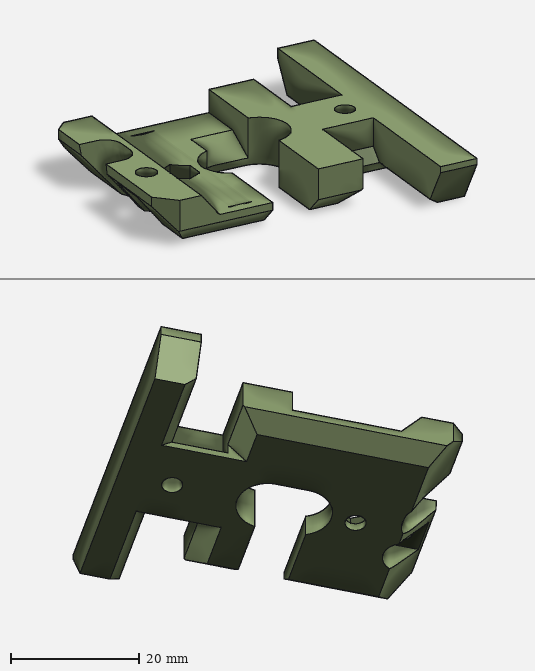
import cadquery as cq
import math

bar_length = 52.0
total_depth = 51.5
thickness = 8.0
beyond = 2.6

bar_front = 45.0
bar_left_height = 1.7
bar_left_inset = 3.65
bar_right_height = 1.05
bar_right_inset = 4.0
bar_chamfer_depth = 1.65
bar_chamfer_height = 1.15

neck_top_left = -5.5
neck_top_right = 4.5
neck_base_left = -8.55
neck_base_right = 6.5
neck_base_height = 1.15
neck_slope_top_left = 4.25
neck_slope_top_right = 3.15

body_half_width = 17.45
body_rear = 35.95
side_chamfer = 2.75
rear_chamfer = 3.0
corner_left = 2.0
corner_right = 3.2

lip_height = 1.6
lip_undercut = 5.25
channel_floor = 4.05
channel_lip_top = 7.05
channel_lip_base = 10.35
channel_rear = 27.9

keyhole_radius = 4.95
keyhole_front_center = 21.85
keyhole_rear_center = 27.2
gap_front = 19.8
gap_rear = channel_rear
ramp_start = -9.9
ramp_front = 20.5
ramp_angle = 30.0

trough_half_length = 15.55
trough_center = 15.05
trough_half_width = 2.1
trough_bottom_half_width = 1.65
trough_edge_depth = 0.1
trough_center_depth = 0.2

screw_diameter = 3.3
rear_screw_x = -0.5
rear_screw_y = 42.75
nut_y = 13.0
nut_corner_diameter = 6.2
nut_floor = 1.45
lip_screw_x = 5.5
lip_screw_y = 3.95
lip_screw_diameter = 3.5
screw_head_diameter = 6.2
screw_head_ceiling = 5.75

slot_radius = 2.95
slot_center_y = 2.95
slot_top_walls = (-8.85, -0.3)
slot_bottom_walls = (-5.75, 1.4)


def block(x0, x1, y0, y1, z0, z1):
    return cq.Workplane("XY").box(x1 - x0, y1 - y0, z1 - z0, centered=False).translate((x0, y0, z0))


def along_y(points, y0, y1):
    """Extrude an (x, z) outline from y0 to y1."""
    return cq.Workplane("XZ", origin=(0, y0, 0)).polyline(points).close().extrude(y0 - y1)


def along_x(points, x0, x1):
    """Extrude a (y, z) outline from x0 to x1."""
    return cq.Workplane("YZ", origin=(x0, 0, 0)).polyline(points).close().extrude(x1 - x0)


def cylinder(x, y, diameter, z0, z1):
    return cq.Workplane("XY", origin=(x, y, z0)).circle(diameter / 2).extrude(z1 - z0)


def make_bar():
    half = bar_length / 2
    ends = [
        (-half, thickness),
        (half, thickness),
        (half, thickness - bar_right_height),
        (half - bar_right_inset, 0),
        (-half + bar_left_inset, 0),
        (-half, thickness - bar_left_height),
    ]
    front_chamfer = along_x(
        [(bar_front, 0), (bar_front + bar_chamfer_depth, 0), (bar_front, bar_chamfer_height)], -half, half
    )
    return along_y(ends, bar_front, total_depth).cut(front_chamfer)


def make_neck():
    flanks = [
        (neck_top_left, thickness),
        (neck_top_right, thickness),
        (neck_top_right, neck_slope_top_right),
        (neck_base_right, neck_base_height),
        (neck_base_right, 0),
        (neck_base_left, 0),
        (neck_base_left, neck_base_height),
        (neck_top_left, neck_slope_top_left),
    ]
    bar_foot = along_x(
        [
            (bar_front, 0),
            (bar_front + bar_chamfer_depth, 0),
            (bar_front + bar_chamfer_depth, bar_chamfer_height),
            (bar_front, bar_chamfer_height),
        ],
        neck_base_left,
        neck_base_right,
    )
    body_foot = block(neck_base_left, neck_base_right, body_rear - rear_chamfer, body_rear, 0, rear_chamfer)
    return along_y(flanks, body_rear, bar_front).union(bar_foot).union(body_foot)


def make_body():
    side_outline = [
        (0, thickness),
        (0, thickness - lip_height),
        (lip_undercut, 0),
        (body_rear - rear_chamfer, 0),
        (body_rear, rear_chamfer),
        (body_rear, thickness),
        (channel_rear, thickness),
        (channel_rear, channel_floor),
        (channel_lip_base, channel_floor),
        (channel_lip_top, thickness),
    ]
    end_outline = [
        (-body_half_width, thickness),
        (body_half_width, thickness),
        (body_half_width, side_chamfer),
        (body_half_width - side_chamfer, 0),
        (-body_half_width + side_chamfer, 0),
        (-body_half_width, side_chamfer),
    ]
    plan_outline = [
        (-body_half_width + corner_left, 0),
        (body_half_width - corner_right, 0),
        (body_half_width, corner_right),
        (body_half_width, body_rear),
        (-body_half_width, body_rear),
        (-body_half_width, corner_left),
    ]
    body = along_x(side_outline, -body_half_width, body_half_width)
    body = body.intersect(along_y(end_outline, 0, body_rear))
    return body.intersect(cq.Workplane("XY").polyline(plan_outline).close().extrude(thickness))


def keyhole():
    opening = block(-keyhole_radius, keyhole_radius, keyhole_front_center, keyhole_rear_center, 0, thickness)
    opening = opening.union(block(0, body_half_width + beyond, gap_front, gap_rear, 0, thickness))
    for center in (keyhole_front_center, keyhole_rear_center):
        opening = opening.union(cylinder(0, center, 2 * keyhole_radius, 0, thickness))
    ramp_end = ramp_start + channel_floor / math.tan(math.radians(ramp_angle))
    ramp = [(ramp_start, channel_floor), (ramp_end, channel_floor), (ramp_end, 0)]
    return opening.union(along_y(ramp, ramp_front, channel_rear))


def trough():
    edge_z = channel_floor - trough_edge_depth
    outline = [
        (trough_center - trough_half_width, channel_floor),
        (trough_center - trough_bottom_half_width, edge_z),
        (trough_center, channel_floor - trough_center_depth),
        (trough_center + trough_bottom_half_width, edge_z),
        (trough_center + trough_half_width, channel_floor),
    ]
    return along_x(outline, -trough_half_length, trough_half_length)


def nut_pocket():
    plane = cq.Workplane("XY", origin=(0, nut_y, nut_floor))
    pocket = plane.polygon(6, nut_corner_diameter).extrude(channel_floor - nut_floor)
    return pocket.union(cylinder(0, nut_y, screw_diameter, 0, thickness))


def lip_screw():
    head_radius = screw_head_diameter / 2
    head = cylinder(lip_screw_x, lip_screw_y, screw_head_diameter, 0, screw_head_ceiling)
    run_out = block(
        lip_screw_x - head_radius, lip_screw_x + head_radius, -beyond, lip_screw_y, 0, screw_head_ceiling
    )
    hole = cylinder(lip_screw_x, lip_screw_y, lip_screw_diameter, 0, thickness)
    return head.union(run_out).union(hole)


def between_walls(inset, y1):
    """Part of the slot between its leaning walls, each moved inwards by inset, from the front to y1."""
    outline = [
        (slot_bottom_walls[0] + inset, 0),
        (slot_bottom_walls[1] - inset, 0),
        (slot_top_walls[1] - inset, thickness),
        (slot_top_walls[0] + inset, thickness),
    ]
    return along_y(outline, -beyond, y1)


def leaning_round(bottom_x, top_x):
    """Round column whose centre moves from bottom_x to top_x on the way up."""
    bottom = cq.Workplane("XY").center(bottom_x, slot_center_y).circle(slot_radius)
    top = bottom.workplane(offset=thickness).center(top_x - bottom_x, 0).circle(slot_radius)
    return top.loft(ruled=True)


def leaning_slot():
    slot = between_walls(0, slot_center_y)
    slot = slot.union(between_walls(slot_radius, slot_center_y + slot_radius))
    slot = slot.union(leaning_round(slot_bottom_walls[0] + slot_radius, slot_top_walls[0] + slot_radius))
    return slot.union(leaning_round(slot_bottom_walls[1] - slot_radius, slot_top_walls[1] - slot_radius))


result = make_body().union(make_neck()).union(make_bar())
for cutter in (
    keyhole(),
    trough(),
    nut_pocket(),
    lip_screw(),
    leaning_slot(),
    cylinder(rear_screw_x, rear_screw_y, screw_diameter, 0, thickness),
):
    result = result.cut(cutter)